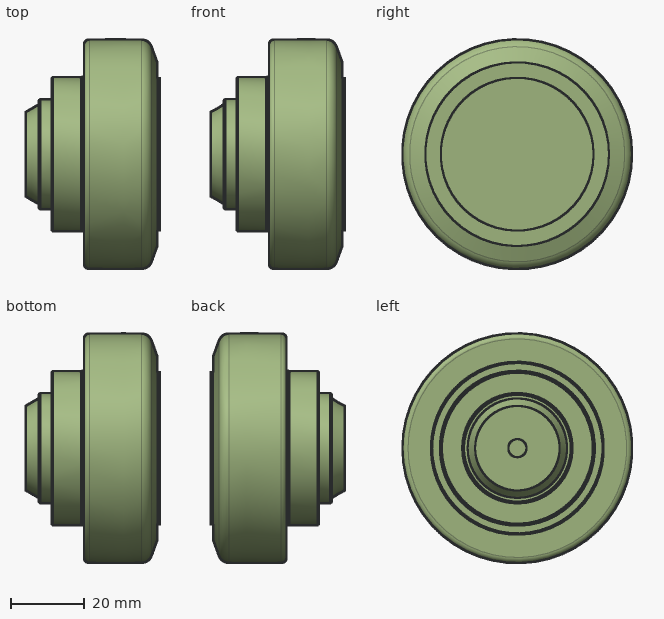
import cadquery as cq
import math


pin_tip_x = 0.0
collar_x = 3.5
head_x = 7.0
neck_x = 15.0
spacer_x = 15.5
tyre_x = 15.8
tyre_width = 20.0
tyre_end_x = tyre_x + tyre_width
overall_length = 36.5

pin_base_radius = 13.5
pin_taper_angle = 30.0
pin_tip_radius = pin_base_radius - (collar_x - pin_tip_x) * math.tan(math.radians(pin_taper_angle))
centre_hole_diameter = 4.95
centre_hole_depth = 5.0

collar_diameter = 30.0
head_diameter = 42.0
neck_diameter = 41.5
spacer_diameter = 42.1
end_hub_diameter = 41.5
shoulder_chamfer = 0.5

tread_radius = 31.25
crown_height = 0.05
front_edge_round = 1.5
rear_edge_round = 3.0
tread_end_inset = 4.4
flank_angle = 20.0

seal_diameter = 47.0
seal_chamfer = 0.4


def disc(diameter, start_x, end_x):
    """Cylinder on the X axis between two stations."""
    return cq.Workplane("YZ").workplane(offset=start_x).circle(diameter / 2).extrude(end_x - start_x)


def revolve_about_x(profile):
    """Turn a closed (x, radius) profile about the X axis."""
    return profile.close().revolve(360, (0, 0, 0), (1, 0, 0))


def chamfered_disc(diameter, start_x, end_x):
    """Disc with a chamfer on its -X rim."""
    return disc(diameter, start_x, end_x).faces("<X").edges().chamfer(shoulder_chamfer)


def pin_tip():
    return revolve_about_x(
        cq.Workplane("XY")
        .moveTo(pin_tip_x, 0)
        .lineTo(pin_tip_x, pin_tip_radius)
        .lineTo(collar_x, pin_base_radius)
        .lineTo(collar_x, 0)
    )


def arc_point(centre_x, centre_radius, arc_radius, degrees):
    """Point on an edge round, with the angle measured from the outward radial toward +X."""
    angle = math.radians(degrees)
    return (centre_x + arc_radius * math.sin(angle), centre_radius + arc_radius * math.cos(angle))


def tyre():
    edge_radius = tread_radius - crown_height
    front_start_x = tyre_x + front_edge_round
    front_round = (front_start_x, edge_radius - front_edge_round, front_edge_round)

    rear_turn = 90 - flank_angle
    flank_slope = math.tan(math.radians(flank_angle))
    rear_start_x = tyre_end_x - tread_end_inset
    rear_round = (rear_start_x, edge_radius - rear_edge_round, rear_edge_round)
    flank_start_x, flank_start_radius = arc_point(*rear_round, rear_turn)
    flank_end_radius = flank_start_radius - (tyre_end_x - flank_start_x) / flank_slope

    crown_x = (front_start_x + rear_start_x) / 2
    return revolve_about_x(
        cq.Workplane("XY")
        .moveTo(tyre_x, 0)
        .lineTo(*arc_point(*front_round, -90))
        .threePointArc(arc_point(*front_round, -45), arc_point(*front_round, 0))
        .threePointArc((crown_x, tread_radius), (rear_start_x, edge_radius))
        .threePointArc(arc_point(*rear_round, rear_turn / 2), (flank_start_x, flank_start_radius))
        .lineTo(tyre_end_x, flank_end_radius)
        .lineTo(tyre_end_x, 0)
    )


def seal_groove():
    seal_radius = seal_diameter / 2
    return revolve_about_x(
        cq.Workplane("XY")
        .moveTo(tyre_x, seal_radius - seal_chamfer)
        .lineTo(tyre_x, seal_radius)
        .lineTo(tyre_x + seal_chamfer, seal_radius)
    )


result = (
    pin_tip()
    .union(chamfered_disc(collar_diameter, collar_x, head_x))
    .union(chamfered_disc(head_diameter, head_x, neck_x))
    .union(disc(neck_diameter, neck_x, spacer_x))
    .union(disc(spacer_diameter, spacer_x, tyre_x))
    .union(tyre())
    .union(disc(end_hub_diameter, tyre_end_x, overall_length))
    .cut(seal_groove())
    .cut(disc(centre_hole_diameter, pin_tip_x, pin_tip_x + centre_hole_depth))
)